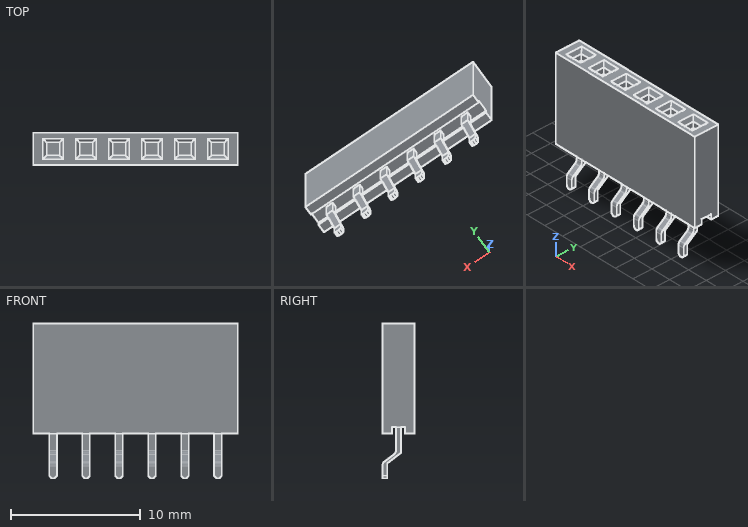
import cadquery as cq
import math

contact_count = 6
pitch = 2.54
contact_xs = [(i - (contact_count - 1) / 2) * pitch for i in range(contact_count)]

end_margin = 0.55
housing_length = contact_count * pitch + end_margin
housing_width = 2.5
housing_height = 8.5

groove_width = 1.0
groove_depth = 0.5

lead_in_size = 1.6
hole_size = 1.0
lead_in_depth = 0.4
hole_depth = 0.6

pin_width = 0.6
pin_thickness = 0.4
pin_bottom_z = -3.45
upper_bend_z = -1.48
slope_angle = 37.3
slope_thickness = 0.25
bend_radius = 0.4
tip_width = 0.22
tip_height = 0.2


def make_socket(x):
    """Cutting shape for one socket, open at the top of the housing."""
    hole_top_z = housing_height - lead_in_depth
    lead_in = (
        cq.Workplane("XY", origin=(x, 0, housing_height))
        .rect(lead_in_size, lead_in_size)
        .workplane(offset=-lead_in_depth)
        .rect(hole_size, hole_size)
        .loft(ruled=True)
    )
    hole = (
        cq.Workplane("XY", origin=(x, 0, hole_top_z - hole_depth))
        .rect(hole_size, hole_size)
        .extrude(hole_depth)
    )
    return lead_in.union(hole)


def make_housing():
    """Rectangular block with a grooved underside and one socket per contact."""
    block = cq.Workplane("XY").box(
        housing_length, housing_width, housing_height, centered=(True, True, False)
    )
    groove = cq.Workplane("XY").box(
        housing_length, groove_width, groove_depth, centered=(True, True, False)
    )
    block = block.cut(groove)
    for x in contact_xs:
        block = block.cut(make_socket(x))
    return block


def make_pin_outline(x):
    """Front outline of a pin, straight-sided with a tapered tip, swept through the full housing width."""
    return (
        cq.Workplane("XZ", origin=(x, 0, 0))
        .moveTo(-pin_width / 2, groove_depth)
        .lineTo(-pin_width / 2, pin_bottom_z + tip_height)
        .lineTo(-tip_width / 2, pin_bottom_z)
        .lineTo(tip_width / 2, pin_bottom_z)
        .lineTo(pin_width / 2, pin_bottom_z + tip_height)
        .lineTo(pin_width / 2, groove_depth)
        .close()
        .extrude(housing_width / 2, both=True)
    )


def make_pin(x):
    """One bent pin hanging from the ceiling of the groove."""
    upper_front_y = -pin_thickness / 2
    upper_rear_y = pin_thickness / 2
    lower_front_y = -housing_width / 2
    lower_rear_y = lower_front_y + pin_thickness

    slope = math.radians(slope_angle)
    drop = (upper_rear_y - lower_rear_y) * math.tan(slope)
    front_rise = slope_thickness / math.cos(slope) - pin_thickness * math.tan(slope)
    lower_rear_z = upper_bend_z - drop
    upper_front_z = upper_bend_z + front_rise
    lower_front_z = lower_rear_z + front_rise

    strip = (
        cq.Workplane("YZ", origin=(x, 0, 0))
        .moveTo(upper_rear_y, groove_depth)
        .lineTo(upper_rear_y, upper_bend_z)
        .lineTo(lower_rear_y, lower_rear_z)
        .lineTo(lower_rear_y, pin_bottom_z)
        .lineTo(lower_front_y, pin_bottom_z)
        .lineTo(lower_front_y, lower_front_z)
        .lineTo(upper_front_y, upper_front_z)
        .lineTo(upper_front_y, groove_depth)
        .close()
        .extrude(pin_width / 2, both=True)
    )
    for y, z in [(upper_front_y, upper_front_z), (lower_front_y, lower_front_z)]:
        strip = strip.edges(cq.selectors.NearestToPointSelector((x, y, z))).fillet(bend_radius)

    return strip.intersect(make_pin_outline(x))


housing = make_housing()
pins = [make_pin(x) for x in contact_xs]

result = cq.Compound.makeCompound([housing.val(), *[pin.val() for pin in pins]])